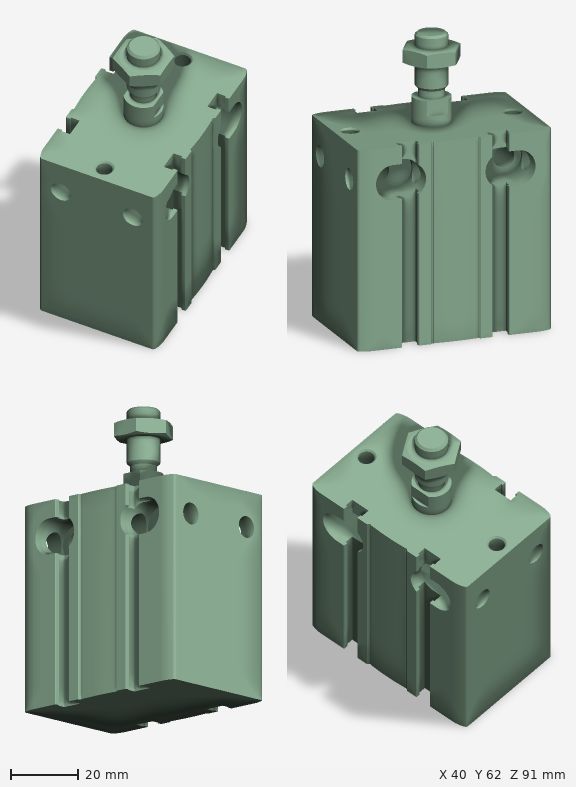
import cadquery as cq
import math

OVERALL_HEIGHT = 91.0

WIDTH = 40.0
LENGTH = 62.0
HEIGHT = 63.0
SHOULDER_RADIUS = 10.0
SHOULDER_LENGTH = 4.55
CORNER_RADIUS = 1.0

SLOT_Y = 14.5
SLOT_WIDTH = 6.5
SLOT_DEPTH = 4.4
SLOT_MOUTH_WIDTH = 5.3
SLOT_MOUTH_CHAMFER = 0.2
SLOT_LIP = 1.5

PANEL_HALF_WIDTH = 8.0
PANEL_GROOVE_DEPTH = 0.6
CROWN_HALF_WIDTH = 6.8
CROWN_DEPTH = 0.3
CROWN_EDGE_DEPTH = 0.55

CROSS_HOLE_DIAMETER = 6.6
CROSS_HOLE_Z = HEIGHT - 11.0
SIDE_HOLE_Y = 20.0
END_HOLE_X = 12.0
POCKET_WIDTH = 11.0
POCKET_LENGTH = 16.0
POCKET_DEPTH = 12.0
TAP_Y = 26.0
TAP_DIAMETER = 4.9
TAP_MOUTH_DIAMETER = 6.0
TAP_DEPTH = 12.0
TAP_TIP_ANGLE = 118.0

COLLAR_DIAMETER = 12.0
COLLAR_HEIGHT = 8.1
FLAT_HEIGHT = 4.7
ACROSS_ROD_FLATS = 10.0
NECK_DIAMETER = 8.0
NECK_HEIGHT = 2.5
THREAD_DIAMETER = 10.0
THREAD_RUNOUT = (THREAD_DIAMETER - NECK_DIAMETER) / 2
TIP_CHAMFER = 0.7

NUT_ACROSS_FLATS = 16.0
NUT_HEIGHT = 5.0
NUT_FACE_DIAMETER = 14.6
NUT_CHAMFER_ANGLE = 15.0
NUT_TOP_Z = OVERALL_HEIGHT - 4.2


def make_blank():
    """Housing block with bowed side ends and rounded corners."""
    half_width = WIDTH / 2
    half_length = LENGTH / 2
    shoulder_y = half_length - SHOULDER_LENGTH
    end_x = half_width - SHOULDER_RADIUS + math.sqrt(SHOULDER_RADIUS**2 - SHOULDER_LENGTH**2)
    return (
        cq.Workplane("XY")
        .moveTo(half_width, -shoulder_y)
        .lineTo(half_width, shoulder_y)
        .tangentArcPoint((end_x, half_length), relative=False)
        .lineTo(-end_x, half_length)
        .radiusArc((-half_width, shoulder_y), -SHOULDER_RADIUS)
        .lineTo(-half_width, -shoulder_y)
        .tangentArcPoint((-end_x, -half_length), relative=False)
        .lineTo(end_x, -half_length)
        .radiusArc((half_width, -shoulder_y), -SHOULDER_RADIUS)
        .close()
        .extrude(HEIGHT)
        .edges("|Z and (>Y or <Y)")
        .fillet(CORNER_RADIUS)
    )


def make_slot(y):
    """Cutter for one undercut slot in the -X side."""
    inner_half = SLOT_MOUTH_WIDTH / 2
    outer_half = inner_half + SLOT_MOUTH_CHAMFER
    mouth = (
        cq.Workplane("XY")
        .polyline(
            [
                (0, -outer_half),
                (SLOT_MOUTH_CHAMFER, -inner_half),
                (SLOT_LIP, -inner_half),
                (SLOT_LIP, inner_half),
                (SLOT_MOUTH_CHAMFER, inner_half),
                (0, outer_half),
            ]
        )
        .close()
        .extrude(HEIGHT)
    )
    channel = (
        cq.Workplane("XY")
        .box(SLOT_DEPTH - SLOT_LIP, SLOT_WIDTH, HEIGHT, centered=(False, True, False))
        .translate((SLOT_LIP, 0, 0))
    )
    return mouth.union(channel).translate((-WIDTH / 2, y, 0))


def make_panel():
    """Cutter for the recess around the crowned panel in the -X side."""
    side_x = -WIDTH / 2
    groove_x = side_x + PANEL_GROOVE_DEPTH
    crown_edge_x = side_x + CROWN_EDGE_DEPTH
    groove_half_width = PANEL_HALF_WIDTH - PANEL_GROOVE_DEPTH
    return (
        cq.Workplane("XY")
        .moveTo(side_x, -PANEL_HALF_WIDTH)
        .lineTo(groove_x, -groove_half_width)
        .lineTo(groove_x, -CROWN_HALF_WIDTH)
        .lineTo(crown_edge_x, -CROWN_HALF_WIDTH)
        .threePointArc((side_x + CROWN_DEPTH, 0), (crown_edge_x, CROWN_HALF_WIDTH))
        .lineTo(groove_x, CROWN_HALF_WIDTH)
        .lineTo(groove_x, groove_half_width)
        .lineTo(side_x, PANEL_HALF_WIDTH)
        .close()
        .extrude(HEIGHT)
    )


def make_pocket(side):
    """Cutter for one round-ended pocket in the -X side, reaching from the cross hole towards the middle."""
    center_y = SIDE_HOLE_Y + POCKET_WIDTH / 2 - POCKET_LENGTH / 2
    return (
        cq.Workplane("YZ", origin=(-WIDTH / 2, side * center_y, CROSS_HOLE_Z))
        .slot2D(POCKET_LENGTH, POCKET_WIDTH)
        .extrude(POCKET_DEPTH)
    )


def make_tapped_hole(y):
    """Cutter for one countersunk blind hole with a drilled tip in the top face."""
    radius = TAP_DIAMETER / 2
    mouth_radius = TAP_MOUTH_DIAMETER / 2
    tip_length = radius / math.tan(math.radians(TAP_TIP_ANGLE / 2))
    return (
        cq.Workplane("XZ")
        .polyline(
            [
                (0, 0),
                (mouth_radius, 0),
                (radius, radius - mouth_radius),
                (radius, -TAP_DEPTH),
                (0, -TAP_DEPTH - tip_length),
            ]
        )
        .close()
        .revolve(360, (0, 0, 0), (0, 1, 0))
        .translate((0, y, HEIGHT))
    )


def make_cross_holes():
    """Cutter for the two holes along X and the two along Y."""
    radius = CROSS_HOLE_DIAMETER / 2
    along_x = (
        cq.Workplane("YZ", origin=(0, 0, CROSS_HOLE_Z))
        .pushPoints([(-SIDE_HOLE_Y, 0), (SIDE_HOLE_Y, 0)])
        .circle(radius)
        .extrude(WIDTH / 2, both=True)
    )
    along_y = (
        cq.Workplane("XZ", origin=(0, 0, CROSS_HOLE_Z))
        .pushPoints([(-END_HOLE_X, 0), (END_HOLE_X, 0)])
        .circle(radius)
        .extrude(LENGTH / 2, both=True)
    )
    return along_x.union(along_y)


def make_housing():
    body = make_blank()
    side_cutters = [make_panel()]
    for side in (-1, 1):
        side_cutters.append(make_slot(side * SLOT_Y))
        side_cutters.append(make_pocket(side))
        body = body.cut(make_tapped_hole(side * TAP_Y))
    for cutter in side_cutters:
        body = body.cut(cutter).cut(cutter.mirror("YZ"))
    return body.cut(make_cross_holes())


def make_rod():
    """Rod standing on the housing: collar with two flats, neck and threaded end."""
    collar_top = HEIGHT + COLLAR_HEIGHT
    neck_top = collar_top + NECK_HEIGHT
    thread_radius = THREAD_DIAMETER / 2
    rod = (
        cq.Workplane("XZ")
        .polyline(
            [
                (0, HEIGHT),
                (COLLAR_DIAMETER / 2, HEIGHT),
                (COLLAR_DIAMETER / 2, collar_top),
                (NECK_DIAMETER / 2, collar_top),
                (NECK_DIAMETER / 2, neck_top),
                (thread_radius, neck_top + THREAD_RUNOUT),
                (thread_radius, OVERALL_HEIGHT - TIP_CHAMFER),
                (thread_radius - TIP_CHAMFER, OVERALL_HEIGHT),
                (0, OVERALL_HEIGHT),
            ]
        )
        .close()
        .revolve(360, (0, 0, 0), (0, 1, 0))
    )
    for side in (-1, 1):
        flat = (
            cq.Workplane("XY")
            .box(COLLAR_DIAMETER, COLLAR_DIAMETER, FLAT_HEIGHT, centered=(True, True, False))
            .translate((side * (ACROSS_ROD_FLATS + COLLAR_DIAMETER) / 2, 0, collar_top - FLAT_HEIGHT))
        )
        rod = rod.cut(flat)
    return rod


def make_nut():
    """Hexagon nut with flats facing X, both faces bevelled by a cone."""
    across_corners = NUT_ACROSS_FLATS / math.cos(math.radians(30))
    corner_radius = across_corners / 2
    face_radius = NUT_FACE_DIAMETER / 2
    bevel_height = (corner_radius - face_radius) * math.tan(math.radians(NUT_CHAMFER_ANGLE))
    hexagon = (
        cq.Workplane("XY")
        .polygon(6, across_corners)
        .extrude(NUT_HEIGHT)
        .rotate((0, 0, 0), (0, 0, 1), 90)
    )
    bevel = (
        cq.Workplane("XZ")
        .polyline(
            [
                (0, 0),
                (face_radius, 0),
                (corner_radius, bevel_height),
                (corner_radius, NUT_HEIGHT - bevel_height),
                (face_radius, NUT_HEIGHT),
                (0, NUT_HEIGHT),
            ]
        )
        .close()
        .revolve(360, (0, 0, 0), (0, 1, 0))
    )
    bore = cq.Workplane("XY").circle(THREAD_DIAMETER / 2).extrude(NUT_HEIGHT)
    return hexagon.intersect(bevel).cut(bore).translate((0, 0, NUT_TOP_Z - NUT_HEIGHT))


housing = make_housing()
rod = make_rod()
nut = make_nut()

result = cq.Compound.makeCompound([housing.val(), rod.val(), nut.val()])